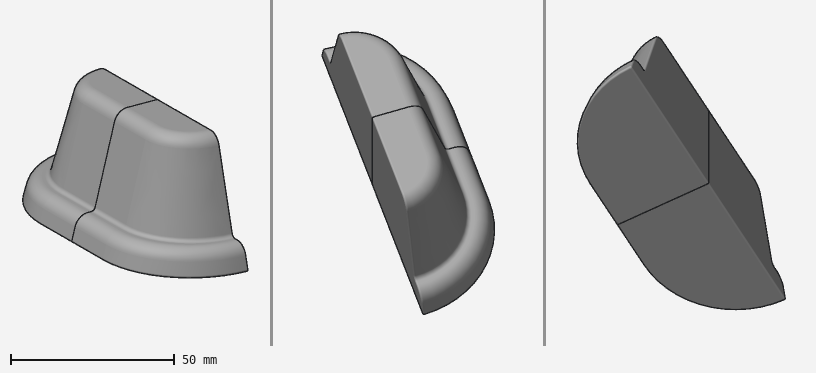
import cadquery as cq
import math

WIDTH = 98.1
DEPTH = 32.0
HEIGHT = 40.0

SEAM_GAP = 0.1
WALL_ANGLE = 15.0
RIM_HEIGHT = 8.6
TOP_CORNER_X = 32.4

TOP_ROUND = 4.9
NECK_ROUND = 1.6
RIM_ROUND = 4.9
EDGE_ROUND = 0.6

turn_axis_x = WIDTH / 2 - DEPTH
straight_length = turn_axis_x - SEAM_GAP / 2

slope = math.tan(math.radians(WALL_ANGLE))
half_foot_angle = math.radians((90 - WALL_ANGLE) / 2)
edge_trim = EDGE_ROUND * (1 / math.tan(half_foot_angle) - 1)
foot_radius = DEPTH + edge_trim
rim_radius = foot_radius - RIM_HEIGHT * slope
top_radius = TOP_CORNER_X - turn_axis_x
neck_radius = top_radius + (HEIGHT - RIM_HEIGHT) * slope


def rounded_profile():
    """Rounded wall profile, drawn in the XZ plane with the turning axis on Z."""
    rounded_corners = [
        ((foot_radius, 0), EDGE_ROUND),
        ((rim_radius, RIM_HEIGHT), RIM_ROUND),
        ((neck_radius, RIM_HEIGHT), NECK_ROUND),
        ((top_radius, HEIGHT), TOP_ROUND),
    ]
    outline = [(0, 0), *[corner for corner, _ in rounded_corners], (0, HEIGHT)]
    profile = cq.Wire.makePolygon([cq.Vector(x, 0, z) for x, z in outline], close=True)
    for (x, z), radius in rounded_corners:
        vertex = cq.Workplane(obj=profile).vertices(cq.selectors.NearestToPointSelector((x, 0, z)))
        profile = profile.fillet2D(radius, vertex.vals())
    return profile


def quarter_end(profile):
    """Quarter turn from the side (+X) round to the front (-Y)."""
    return cq.Workplane(obj=cq.Solid.revolve(profile, [], 90, cq.Vector(0, 0, 0), cq.Vector(0, 0, -1)))


def straight_middle(profile):
    """Straight stretch from the turning axis to the seam, with the profile facing -Y."""
    front_profile = profile.rotate(cq.Vector(0, 0, 0), cq.Vector(0, 0, 1), -90)
    return cq.Workplane(obj=cq.Solid.extrudeLinear(front_profile, [], cq.Vector(-straight_length, 0, 0)))


def right_half():
    """The half on the +X side: flat back at Y = 0, flat bottom at Z = 0."""
    profile = rounded_profile()
    half = quarter_end(profile).union(straight_middle(profile)).clean()

    back_edges = half.faces(">Y").edges().edges("not(<X or <Z)")
    half = half.newObject(back_edges.vals()).fillet(EDGE_ROUND)
    return half.translate((turn_axis_x, 0, 0))


def left_half():
    """Mirror image of the right half across the seam."""
    return right_half().mirror("YZ")


result = cq.Compound.makeCompound([right_half().val(), left_half().val()])